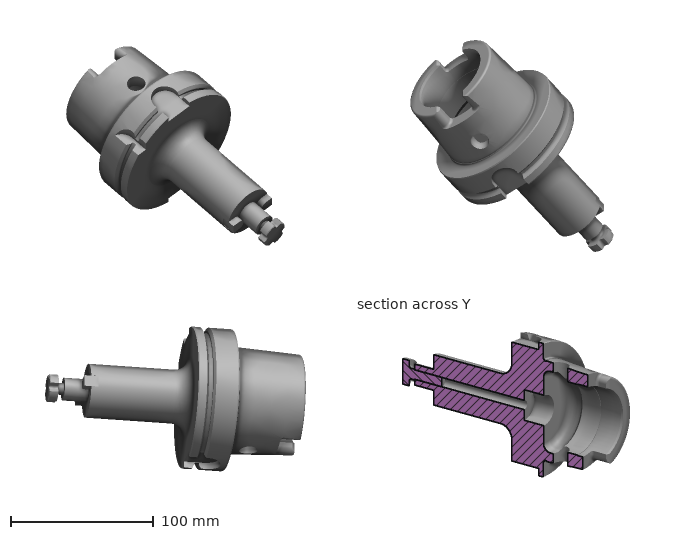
import cadquery as cq
import math

flange_start = 50.0
flange_width = 29.0
flange_end = flange_start + flange_width
body_end = 150.0
pilot_end = 167.0
overall_length = 178.0

taper_tip_radius = 35.5
taper_slope = 0.05
tip_fillet = 1.6
relief_start = 47.5
relief_width = 1.5
relief_depth = 0.5
relief_end = relief_start + relief_width
relief_radius = taper_tip_radius + taper_slope * relief_start - relief_depth
neck_radius = relief_radius + relief_depth
neck_fillet = flange_start - relief_end

mouth_edge_radius = 26.9
mouth_chamfer_depth = 1.8
bore_mouth_radius = 26.5
bore_mouth_depth = 19.5
bore_radius = 26.2
clamping_shoulder_start = 36.3
clamping_chamber_radius = 30.3
bore_depth = 49.8
bore_floor_radius = 25.0
coolant_hole_diameter = 22.5
coolant_hole_depth = 17.8
coolant_hole_end = bore_depth + coolant_hole_depth

tip_slot_width = 20.0
tip_slot_depths = {1: 9.8, -1: 14.6}
tip_slot_flat = 32.2
tip_slot_flare_radius = 4.6
tip_slot_floor_fillet = 2.0
tip_slot_chamfer = 1.6
clamp_hole_x = 34.9
clamp_hole_diameter = 13.0

flange_radius = 50.0
flange_chamfer_width = 0.9
flange_chamfer_drop = 0.4
groove_radius = 46.1
groove_left_lip_x = 66.5
groove_left_wall_x = 68.2
groove_left_lip_radius = 47.7
groove_floor_end_x = 71.2
groove_right_lip_x = 73.0

keyway_width = 20.0
keyway_center_x = 64.8
keyway_floor = 44.5
notch_floor_z = 31.3
notch_wall_y = -31.7

body_radius = 38.0 / 2
body_fillet = 10.0
pilot_radius = 16.0 / 2

dog_width = 8.0
dog_start = 144.9
dog_end = 155.0
dog_outer = 18.3
dog_inner = 8.7

thread_diameter = 6.5
thread_length = 25.0
screw_neck_radius = 8.4 / 2
head_fillet = 1.6
head_start = 171.6
head_radius = 10.0
head_chamfer = 0.5
wrench_slot_count = 4
wrench_slot_tilt = 17.0
wrench_slot_root_radius = 1.69
wrench_slot_root = 7.1

clearance = 17.8


def revolved(profile):
    """Turn a half profile drawn in X and radius about the tool axis."""
    return profile.close().revolve(360, (0, 0, 0), (1, 0, 0))


def cylinder_along_x(start, end, radius):
    return cq.Workplane("YZ", origin=(start, 0, 0)).circle(radius).extrude(end - start)


def holder_outside():
    taper_end_radius = taper_tip_radius + taper_slope * relief_start
    profile = (
        cq.Workplane("XY")
        .moveTo(0, 0)
        .lineTo(0, taper_tip_radius)
        .lineTo(relief_start, taper_end_radius)
        .lineTo(relief_start, relief_radius)
        .lineTo(relief_end, relief_radius)
        .lineTo(relief_end, neck_radius)
        .radiusArc((flange_start, neck_radius + neck_fillet), -neck_fillet)
        .lineTo(flange_start, flange_radius - flange_chamfer_drop)
        .lineTo(flange_start + flange_chamfer_width, flange_radius)
        .lineTo(groove_left_lip_x, flange_radius)
        .lineTo(groove_left_wall_x, groove_left_lip_radius)
        .lineTo(groove_left_wall_x, groove_radius)
        .lineTo(groove_floor_end_x, groove_radius)
        .lineTo(groove_right_lip_x, flange_radius)
        .lineTo(flange_end - flange_chamfer_width, flange_radius)
        .lineTo(flange_end, flange_radius - flange_chamfer_drop)
        .lineTo(flange_end, body_radius + body_fillet)
        .radiusArc((flange_end + body_fillet, body_radius), -body_fillet)
        .lineTo(body_end, body_radius)
        .lineTo(body_end, pilot_radius)
        .lineTo(pilot_end, pilot_radius)
        .lineTo(pilot_end, 0)
    )
    return revolved(profile).faces("<X").edges().fillet(tip_fillet)


def shank_bore():
    """Stepped bore that widens over a 45 degree shoulder into the clamping chamber."""
    shoulder_end = clamping_shoulder_start + clamping_chamber_radius - bore_radius
    floor_fillet = clamping_chamber_radius - bore_floor_radius
    profile = (
        cq.Workplane("XY")
        .moveTo(0, 0)
        .lineTo(0, mouth_edge_radius)
        .lineTo(mouth_chamfer_depth, bore_mouth_radius)
        .lineTo(bore_mouth_depth, bore_mouth_radius)
        .lineTo(bore_mouth_depth, bore_radius)
        .lineTo(clamping_shoulder_start, bore_radius)
        .lineTo(shoulder_end, clamping_chamber_radius)
        .lineTo(bore_depth, clamping_chamber_radius)
        .lineTo(bore_depth, 0)
    )
    bore = revolved(profile).faces(">X").edges().fillet(floor_fillet)
    coolant_hole = cylinder_along_x(0, coolant_hole_end, coolant_hole_diameter / 2)
    screw_hole = cylinder_along_x(0, pilot_end, thread_diameter / 2)
    return bore.union(coolant_hole).union(screw_hole)


def tip_slot(side):
    """Drive slot on one side of the shank tip, flaring out to flats across the shank."""
    half_width = tip_slot_width / 2
    flare = tip_slot_flare_radius
    flare_start = tip_slot_flat - flare
    reach = flange_radius
    slot = (
        cq.Workplane("YZ", origin=(-clearance, 0, 0))
        .moveTo(-half_width, 0)
        .lineTo(-half_width, flare_start)
        .radiusArc((-half_width - flare, tip_slot_flat), -flare)
        .lineTo(-reach, tip_slot_flat)
        .lineTo(-reach, reach)
        .lineTo(reach, reach)
        .lineTo(reach, tip_slot_flat)
        .lineTo(half_width + flare, tip_slot_flat)
        .radiusArc((half_width, flare_start), -flare)
        .lineTo(half_width, 0)
        .close()
        .extrude(clearance + tip_slot_depths[side])
    )
    inner_box = cq.selectors.BoxSelector(
        (-clearance, -reach + 1.8, 1.8), (flange_start, reach - 1.8, tip_slot_flat + 1.8)
    )
    slot = slot.faces(">X").edges(inner_box).fillet(tip_slot_floor_fillet)

    bevel = tip_slot_chamfer
    bevel_top = flare_start + math.sqrt(flare**2 - (flare - bevel) ** 2)
    mouth = (
        cq.Workplane("XY")
        .moveTo(0, -half_width - bevel)
        .lineTo(bevel, -half_width)
        .lineTo(bevel, half_width)
        .lineTo(0, half_width + bevel)
        .close()
        .extrude(bevel_top)
    )
    slot = slot.union(mouth)
    return slot if side > 0 else slot.mirror("XY")


def clamp_hole():
    """Radial hole through both walls of the shank."""
    return (
        cq.Workplane("XY", origin=(clamp_hole_x, 0, 0))
        .circle(clamp_hole_diameter / 2)
        .extrude(flange_radius, both=True)
    )


def keyway(side):
    """Round-ended keyway on the +Z or -Z side, open towards the arbor."""
    return round_ended_slot(0, keyway_floor, side)


def flange_notch():
    """Index notch in the flange, cut from above on the -Y side."""
    return round_ended_slot(notch_wall_y - keyway_width / 2, notch_floor_z, 1)


def round_ended_slot(center_y, floor, side):
    straight_end = flange_end + body_fillet
    straight = straight_end - keyway_center_x
    base = cq.Workplane("XY", origin=(0, 0, side * floor))
    height = side * clearance * 2
    round_end = base.center(keyway_center_x, center_y).circle(keyway_width / 2).extrude(height)
    run = base.center(keyway_center_x + straight / 2, center_y).rect(straight, keyway_width)
    return round_end.union(run.extrude(height))


def dog():
    """Driving dog on the +Y side: flat outside, rounded towards the axis."""
    radius = dog_width / 2
    round_center = dog_inner + radius
    return (
        cq.Workplane("YZ", origin=(dog_start, 0, 0))
        .moveTo(dog_outer, radius)
        .lineTo(round_center, radius)
        .threePointArc((dog_inner, 0), (round_center, -radius))
        .lineTo(dog_outer, -radius)
        .close()
        .extrude(dog_end - dog_start)
    )


def dog_seat():
    """Seat of a dog, open outwards to the surface of the arbor body."""
    length = body_end - dog_start
    relief = (
        cq.Workplane("XY")
        .box(length, body_radius, dog_width, centered=(False, False, True))
        .translate((dog_start, dog_outer, 0))
    )
    return dog().union(relief)


def both_sides(make):
    return [make().rotate((0, 0, 0), (1, 0, 0), angle) for angle in (0, 180)]


def holder():
    body = holder_outside().cut(shank_bore())
    for side in (1, -1):
        body = body.cut(tip_slot(side))
        body = body.cut(keyway(side))
    body = body.cut(clamp_hole())
    body = body.cut(flange_notch())
    for seat in both_sides(dog_seat):
        body = body.cut(seat)
    return body


def wrench_slot():
    """V slot with a rounded bottom, cut into the head rim on the +Z side."""
    root = wrench_slot_root_radius
    root_center = wrench_slot_root + root
    tangent_offset = root * math.sqrt(0.5)
    tangent_height = root_center - tangent_offset
    mouth_height = head_radius + tangent_offset
    mouth_half_width = tangent_offset + mouth_height - tangent_height
    return (
        cq.Workplane("YZ", origin=(head_start - head_fillet, 0, 0))
        .moveTo(-mouth_half_width, mouth_height)
        .lineTo(-tangent_offset, tangent_height)
        .threePointArc((0, wrench_slot_root), (tangent_offset, tangent_height))
        .lineTo(mouth_half_width, mouth_height)
        .close()
        .extrude(clearance)
    )


def retaining_screw():
    head_back_radius = screw_neck_radius + head_fillet
    profile = (
        cq.Workplane("XY")
        .moveTo(pilot_end - thread_length, 0)
        .lineTo(pilot_end - thread_length, thread_diameter / 2)
        .lineTo(pilot_end, thread_diameter / 2)
        .lineTo(pilot_end, screw_neck_radius)
        .lineTo(head_start - head_fillet, screw_neck_radius)
        .radiusArc((head_start, head_back_radius), -head_fillet)
        .lineTo(head_start, head_radius)
        .lineTo(overall_length - head_chamfer, head_radius)
        .lineTo(overall_length, head_radius - head_chamfer)
        .lineTo(overall_length, 0)
    )
    screw = revolved(profile)
    for index in range(wrench_slot_count):
        angle = index * 360 / wrench_slot_count - wrench_slot_tilt
        screw = screw.cut(wrench_slot().rotate((0, 0, 0), (1, 0, 0), angle))
    return screw


dogs = both_sides(dog)
result = cq.Compound.makeCompound(
    [holder().val(), *[one.val() for one in dogs], retaining_screw().val()]
)